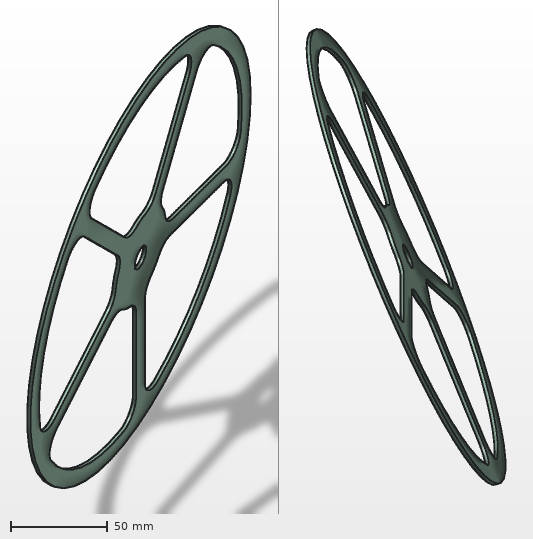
import cadquery as cq
import math

wheel_diameter = 254.0
thickness = 2.0
rim_width = 10.2
hub_diameter = 57.5
bore_diameter = 13.2
spoke_width = 10.2
spoke_count = 5
corner_radius = 12.7

rim_inner_radius = wheel_diameter / 2 - rim_width
hub_radius = hub_diameter / 2
spoke_pitch = 360 / spoke_count


def disc(diameter):
    """Flat disc about the X axis, centred on the YZ plane."""
    return cq.Workplane("YZ").circle(diameter / 2).extrude(thickness / 2, both=True)


def window_corner(radius):
    """(Y, Z) point on the +Y side where the spoke's edge meets a circle of this radius."""
    angle = math.radians(spoke_pitch / 2) - math.asin(spoke_width / 2 / radius)
    return radius * math.sin(angle), radius * math.cos(angle)


def window():
    """Rounded opening between two spokes, centred on +Z."""
    outer_y, outer_z = window_corner(rim_inner_radius)
    inner_y, inner_z = window_corner(hub_radius)
    return (
        cq.Workplane("YZ")
        .moveTo(-inner_y, inner_z)
        .lineTo(-outer_y, outer_z)
        .threePointArc((0, rim_inner_radius), (outer_y, outer_z))
        .lineTo(inner_y, inner_z)
        .threePointArc((0, hub_radius), (-inner_y, inner_z))
        .close()
        .extrude(thickness / 2, both=True)
        .edges("|X")
        .fillet(corner_radius)
    )


result = disc(wheel_diameter).cut(disc(bore_diameter))
opening = window()
for index in range(spoke_count):
    result = result.cut(opening.rotate((0, 0, 0), (1, 0, 0), index * spoke_pitch))